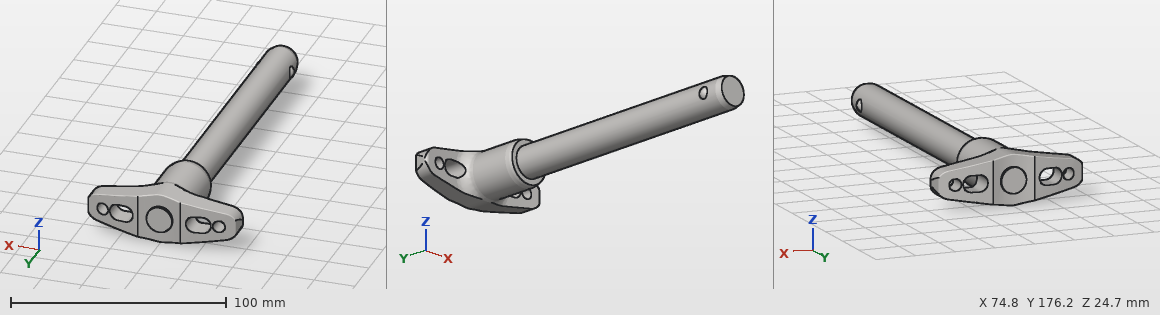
import cadquery as cq
import math


shank_radius = 8.15
shank_length = 134.2
nose_length = 3.4
nose_radius = 7.3

ball_radius = 3.4
ball_reach = 9.35
ball_to_tip = 11.3

collar_radius = 11.85
shoulder_radius = 11.0
shoulder_cone_length = 1.6
lead_cone_radius = 11.5
lead_cone_length = 2.1
lead_cone_start = shoulder_cone_length + lead_cone_length

handle_top_y = 42.0
handle_half_width = 12.33
end_radius = 7.0
tip_x = 37.4
side_angle = math.asin((handle_half_width - end_radius) / (tip_x - end_radius))

dish_depth = 1.5
crest_x = 10.4
arm_mid_x = 23.5
arm_mid_drop = 1.5
tip_drop = 4.0
tip_draft = math.radians(10)
tip_corner_radius = 1.5
underside_drop = 11.1
underside_radius = 520.0
neck_fillet_radius = 5.6
top_edge_radius = 0.5

button_radius = 6.3
slot_inner_x = 13.0
slot_outer_x = 24.8
slot_width = 8.0
hole_x = 28.5
hole_diameter = 5.7

edge_search = 1.0

SIDES = (-1, 1)


def make_pin():
    """Shank and the collar cones, turned about the Y axis."""
    profile = [
        (0, -shank_length),
        (nose_radius, -shank_length),
        (shank_radius, -shank_length + nose_length),
        (shank_radius, 0),
        (shoulder_radius, 0),
        (lead_cone_radius, shoulder_cone_length),
        (collar_radius, lead_cone_start),
        (0, lead_cone_start),
    ]
    return cq.Workplane("XY").polyline(profile).close().revolve(360, (0, 0, 0), (0, 1, 0))


def make_arm_plate():
    """Curved T-handle profile, extruded wider than the finished handle."""
    dish_y = handle_top_y - dish_depth
    mid_y = handle_top_y - arm_mid_drop
    tip_top_y = handle_top_y - tip_drop
    underside_y = handle_top_y - underside_drop
    underside_centre_y = underside_y - underside_radius
    tip_bottom_y = underside_centre_y + math.sqrt(underside_radius**2 - tip_x**2)
    corner_reach = underside_radius + tip_corner_radius
    corner_centre_y = underside_centre_y + math.sqrt(corner_reach**2 - (tip_x - tip_corner_radius) ** 2)
    end_face_x = tip_x + tip_corner_radius * (1 / math.cos(tip_draft) - 1)
    tip_top_x = end_face_x - (tip_top_y - corner_centre_y) * math.tan(tip_draft)
    tip_bottom_x = end_face_x + (corner_centre_y - tip_bottom_y) * math.tan(tip_draft)
    plate = (
        cq.Workplane("XY")
        .moveTo(-crest_x, handle_top_y)
        .threePointArc((0, dish_y), (crest_x, handle_top_y))
        .threePointArc((arm_mid_x, mid_y), (tip_top_x, tip_top_y))
        .lineTo(tip_bottom_x, tip_bottom_y)
        .threePointArc((0, underside_y), (-tip_bottom_x, tip_bottom_y))
        .lineTo(-tip_top_x, tip_top_y)
        .threePointArc((-arm_mid_x, mid_y), (-crest_x, handle_top_y))
        .close()
        .extrude(2 * handle_half_width, both=True)
    )
    lower_tip_edges = cq.selectors.BoxSelector(
        (-2 * tip_x, tip_bottom_y - edge_search, -edge_search),
        (2 * tip_x, tip_bottom_y + edge_search, edge_search),
    )
    return plate.edges("|Z").edges(lower_tip_edges).fillet(tip_corner_radius)


def make_handle_outline():
    """Diamond with rounded ends and crown, covering the full length of collar and handle."""
    sin_a = math.sin(side_angle)
    cos_a = math.cos(side_angle)
    end_x = tip_x - end_radius
    end_tangent = (end_x + end_radius * sin_a, end_radius * cos_a)
    crown_tangent = (handle_half_width * sin_a, handle_half_width * cos_a)
    (ex, ez), (cx, cz) = end_tangent, crown_tangent
    return (
        cq.Workplane("XZ")
        .moveTo(-cx, cz)
        .threePointArc((0, handle_half_width), (cx, cz))
        .lineTo(ex, ez)
        .threePointArc((tip_x, 0), (ex, -ez))
        .lineTo(cx, -cz)
        .threePointArc((0, -handle_half_width), (-cx, -cz))
        .lineTo(-ex, -ez)
        .threePointArc((-tip_x, 0), (-ex, ez))
        .close()
        .extrude(-handle_top_y)
    )


def make_handle():
    """Plate and collar blended by the neck fillet, then trimmed to the handle outline."""
    collar_start = cq.Workplane("XZ", origin=(0, lead_cone_start, 0))
    collar = collar_start.circle(collar_radius).extrude(-(handle_top_y - underside_drop - lead_cone_start))
    blank = make_arm_plate().union(collar)
    neck_selector = cq.selectors.BoxSelector(
        (-collar_radius, handle_top_y - underside_drop - edge_search, -collar_radius),
        (collar_radius, handle_top_y - underside_drop + edge_search, collar_radius),
    )
    blank = blank.edges(neck_selector).fillet(neck_fillet_radius)
    handle = blank.intersect(make_handle_outline())
    top_faces = cq.selectors.BoxSelector(
        (-tip_x, handle_top_y - tip_drop, -handle_half_width),
        (tip_x, handle_top_y, handle_half_width),
    )
    return handle.faces(top_faces).edges("not >Y").fillet(top_edge_radius)


def make_button():
    """Round button filling the dish up to the crest level."""
    return cq.Workplane("XZ", origin=(0, handle_top_y, 0)).circle(button_radius).extrude(2 * dish_depth)


def make_arm_openings():
    """A slot and a small hole through each arm."""
    slot_x = (slot_inner_x + slot_outer_x) / 2
    slot_length = slot_outer_x - slot_inner_x
    slot_centres = [(side * slot_x, 0) for side in SIDES]
    hole_centres = [(side * hole_x, 0) for side in SIDES]
    slots = cq.Workplane("XZ").pushPoints(slot_centres).slot2D(slot_length, slot_width)
    holes = cq.Workplane("XZ").pushPoints(hole_centres).circle(hole_diameter / 2)
    return slots.extrude(-handle_top_y).union(holes.extrude(-handle_top_y))


def make_balls():
    """Locking balls standing out of both sides of the shank."""
    centres = [(side * (ball_reach - ball_radius), ball_to_tip - shank_length, 0) for side in SIDES]
    return cq.Workplane("XY").pushPoints(centres).sphere(ball_radius)


handle = make_handle().union(make_button()).cut(make_arm_openings())
result = handle.union(make_pin()).union(make_balls())